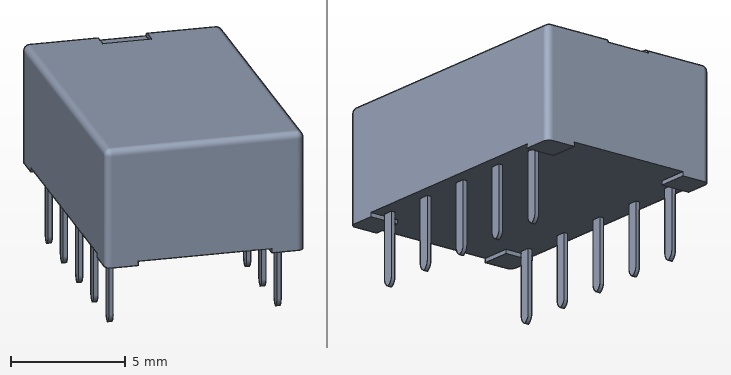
import cadquery as cq

case_length = 14.0
case_front_y = -4.5
case_back_y = 4.51
case_width = case_back_y - case_front_y
case_height = 5.5
edge_radius = 0.3

standoff = 0.2
foot_size = 1.48

mark_length = 1.0
mark_width = 2.22
mark_depth = 0.2

pins_per_row = 5
pin_pitch = 2.54
row_spacing = 3 * pin_pitch
pin_width = 0.5
pin_thickness = 0.2
pin_reach = 3.23
tip_length = 0.45
tip_shoulder_x = 0.19
tip_shoulder_drop = 0.27


def case_block(length, width, height):
    """Block centred on the case outline, rising from the underside of the feet."""
    block = cq.Workplane("XY").box(length, width, height, centered=(True, True, False))
    return block.translate((0, (case_front_y + case_back_y) / 2, 0))


def make_case():
    block = case_block(case_length, case_width, case_height)
    return block.edges("|Z or >Z").fillet(edge_radius)


def cut_channels(body):
    lengthwise = case_block(case_length, case_width - 2 * foot_size, standoff)
    crosswise = case_block(case_length - 2 * foot_size, case_width, standoff)
    return body.cut(lengthwise).cut(crosswise)


def cut_mark(body):
    mark = (
        cq.Workplane("XY")
        .box(mark_length, mark_width, mark_depth, centered=(False, True, False))
        .translate((-case_length / 2, 0, case_height - mark_depth))
    )
    return body.cut(mark)


def make_pin(x, y):
    """Flat pin whose rounded sides meet in a point at the lower end."""
    half_width = pin_width / 2
    tip_start = tip_length - pin_reach
    shoulder_z = tip_start - tip_shoulder_drop
    profile = (
        cq.Workplane("XZ")
        .moveTo(-half_width, standoff)
        .lineTo(half_width, standoff)
        .lineTo(half_width, tip_start)
        .threePointArc((tip_shoulder_x, shoulder_z), (0, -pin_reach))
        .threePointArc((-tip_shoulder_x, shoulder_z), (-half_width, tip_start))
        .close()
    )
    return profile.extrude(pin_thickness / 2, both=True).translate((x, y, 0))


def add_pins(body):
    first_x = -pin_pitch * (pins_per_row - 1) / 2
    for row_y in (-row_spacing / 2, row_spacing / 2):
        for index in range(pins_per_row):
            body = body.union(make_pin(first_x + index * pin_pitch, row_y))
    return body


result = add_pins(cut_mark(cut_channels(make_case())))